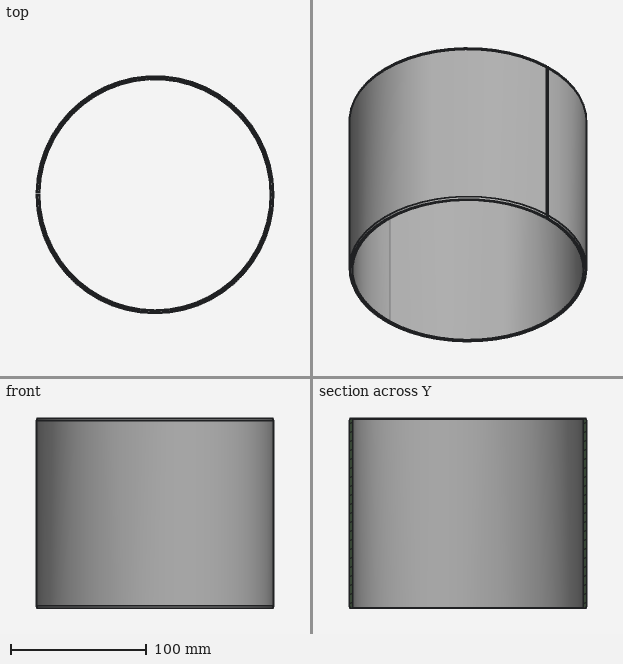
import cadquery as cq

outer_diameter = 175.0
height = 140.0
wall = 2.5
bevel_height = 2.0
bevel_depth = 0.7
bore_chamfer = 0.5
slit_width = 1.5
slit_center_y = slit_width / 2

outer_radius = outer_diameter / 2
inner_radius = outer_radius - wall


def make_tube():
    """Tube centred on the origin, bevelled outside and chamfered inside at both ends."""
    body = cq.Workplane("XY").cylinder(height, outer_radius)
    body = body.faces("<Z or >Z").chamfer(bevel_height, bevel_depth)
    bore = cq.Workplane("XY").cylinder(height, inner_radius)
    tube = body.cut(bore)
    inner_rims = tube.edges(cq.selectors.RadiusNthSelector(0))
    return inner_rims.chamfer(bore_chamfer)


def make_slit():
    """Full-height cutter that passes through the -X wall only."""
    cutter = cq.Workplane("XY").box(outer_radius, slit_width, 2 * height)
    return cutter.translate((-outer_radius, slit_center_y, 0))


result = make_tube().cut(make_slit())